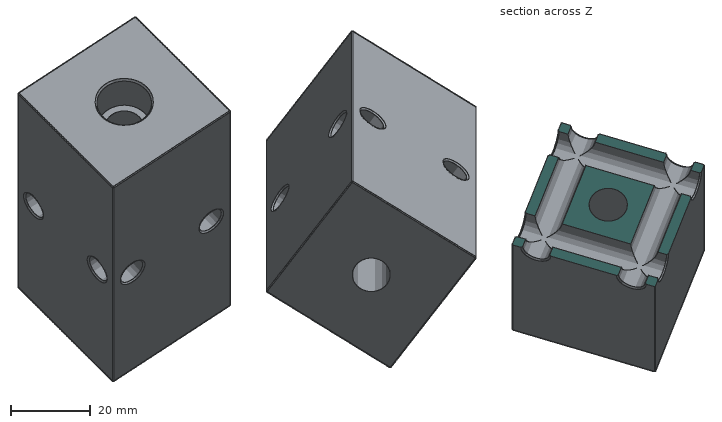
import cadquery as cq

block_width = 38.1
block_height = 82.55
edge_chamfer = 0.265

bore_diameter = 9.5

port_mouth_diameter = 14.6
port_top_diameter = 13.7
port_bottom_diameter = 13.1
port_countersink_depth = 0.52
port_depth = 10.3

cross_hole_diameter = 7.1
cross_hole_mouth_diameter = 7.9
cross_hole_spacing = 25.4


def revolved_about_z(outline):
    """Solid of revolution about Z from a closed outline of (radius, z) points."""
    return cq.Workplane("XZ").polyline(outline).close().revolve(360, (0, 0, 0), (0, 1, 0))


def make_block():
    block = cq.Workplane("XY").box(block_width, block_width, block_height)
    return block.edges().chamfer(edge_chamfer)


def make_bore_cutter():
    """Through bore, widening at the top into the tapered port."""
    top = block_height / 2
    port_floor = top - port_depth
    return revolved_about_z([
        (0, -top),
        (bore_diameter / 2, -top),
        (bore_diameter / 2, port_floor),
        (port_bottom_diameter / 2, port_floor),
        (port_top_diameter / 2, top - port_countersink_depth),
        (port_mouth_diameter / 2, top),
        (0, top),
    ])


def make_cross_hole_cutter():
    """Through hole along Z, spanning the block width, with a 45 degree countersink at both ends."""
    end = block_width / 2
    radius = cross_hole_diameter / 2
    mouth_radius = cross_hole_mouth_diameter / 2
    countersink_depth = mouth_radius - radius
    return revolved_about_z([
        (0, -end),
        (mouth_radius, -end),
        (radius, -end + countersink_depth),
        (radius, end - countersink_depth),
        (mouth_radius, end),
        (0, end),
    ])


def cut_cross_holes(body):
    cutter = make_cross_hole_cutter()
    along_x = cutter.rotate((0, 0, 0), (0, 1, 0), 90)
    along_y = cutter.rotate((0, 0, 0), (1, 0, 0), 90)
    for side in (-1, 1):
        offset = side * cross_hole_spacing / 2
        body = body.cut(along_x.translate((0, offset, 0)))
        body = body.cut(along_y.translate((offset, 0, 0)))
    return body


result = cut_cross_holes(make_block().cut(make_bore_cutter()))